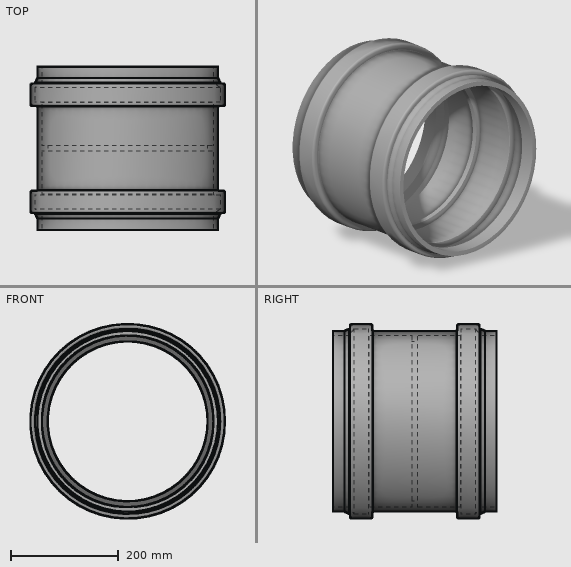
import cadquery as cq

length = 303.0
ring_diameter = 360.8
tube_diameter = 335.2
end_diameter = 335.0
socket_diameter = 317.5
bore_diameter = 296.0
cone_diameter = 343.0

stop_width = 10.0
socket_depth = (length - stop_width) / 2

end_taper = 1.5
cone_start = 21.3
cone_end = 30.0
ring_start = 31.5
ring_end = 73.2
ring_fillet = 4.5
foot_size = 1.0

groove_wall = (ring_diameter - cone_diameter) / 2
groove_diameter = cone_diameter
groove_start = cone_end
groove_end = ring_end + foot_size - groove_wall
groove_lip = 1.0


def cylinder(diameter, start, end):
    """Solid cylinder along Y between two distances from the end face at Y = -length / 2."""
    return cq.Workplane("XZ", origin=(0, start - length / 2, 0)).circle(diameter / 2).extrude(start - end)


def frustum(first_diameter, last_diameter, start, end):
    """Solid frustum along Y between two distances from the end face at Y = -length / 2."""
    profile = cq.Workplane("XY").polyline([
        (0, start - length / 2),
        (first_diameter / 2, start - length / 2),
        (last_diameter / 2, end - length / 2),
        (0, end - length / 2),
    ])
    return profile.close().revolve(360, (0, 0, 0), (0, 1, 0))


def socket_collar():
    """Rounded outer ring with a conical shoulder and a small foot where it meets the tube."""
    ring = cylinder(ring_diameter, ring_start, ring_end).edges().fillet(ring_fillet)
    cone = frustum(tube_diameter, cone_diameter, cone_start, cone_end)
    land = cylinder(cone_diameter, cone_end, ring_start)
    foot = frustum(tube_diameter + 2 * foot_size, tube_diameter, ring_end, ring_end + foot_size)
    return ring.union(cone).union(land).union(foot)


def socket_cut():
    """Pipe socket with a seal groove: conical outer wall, flat inner wall, chamfered lip."""
    socket = cylinder(socket_diameter, 0, socket_depth)
    groove_full = groove_start + groove_wall
    groove_cone = frustum(socket_diameter, groove_diameter, groove_start, groove_full)
    groove = cylinder(groove_diameter, groove_full, groove_end)
    lip_diameter = socket_diameter + 2 * groove_lip
    lip = frustum(lip_diameter, socket_diameter, groove_end, groove_end + groove_lip)
    return socket.union(groove_cone).union(groove).union(lip)


def tube():
    """Plain tube blank, tapered slightly at both end faces."""
    body = cylinder(tube_diameter, end_taper, length - end_taper)
    near_end = frustum(end_diameter, tube_diameter, 0, end_taper)
    return body.union(near_end).union(near_end.mirror("XZ"))


collar = socket_collar()
socket = socket_cut()
result = tube().union(collar).union(collar.mirror("XZ"))
result = result.cut(cylinder(bore_diameter, 0, length))
result = result.cut(socket).cut(socket.mirror("XZ"))